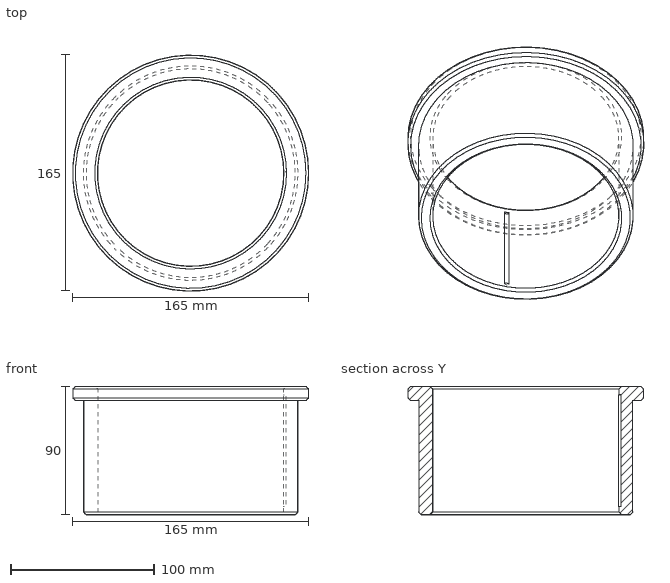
import cadquery as cq

flange_diameter = 165.0
body_diameter = 150.0
bore_diameter = 130.0
total_height = 90.0
flange_thickness = 10.0
edge_chamfer = 2.0
groove_radius = 1.5
groove_end_margin = 6.0

flange_radius = flange_diameter / 2
body_radius = body_diameter / 2
bore_radius = bore_diameter / 2
flange_bottom = total_height - flange_thickness

section = (
    cq.Workplane("XZ")
    .moveTo(bore_radius + edge_chamfer, 0)
    .lineTo(body_radius - edge_chamfer, 0)
    .lineTo(body_radius, edge_chamfer)
    .lineTo(body_radius, flange_bottom)
    .lineTo(flange_radius - edge_chamfer, flange_bottom)
    .lineTo(flange_radius, flange_bottom + edge_chamfer)
    .lineTo(flange_radius, total_height - edge_chamfer)
    .lineTo(flange_radius - edge_chamfer, total_height)
    .lineTo(bore_radius + edge_chamfer, total_height)
    .lineTo(bore_radius, total_height - edge_chamfer)
    .lineTo(bore_radius, edge_chamfer)
    .close()
)

bushing = section.revolve(360, (0, 0, 0), (0, 1, 0))

groove = (
    cq.Workplane("XY")
    .workplane(offset=groove_end_margin)
    .center(bore_radius, 0)
    .circle(groove_radius)
    .extrude(total_height - 2 * groove_end_margin)
)

result = bushing.cut(groove)